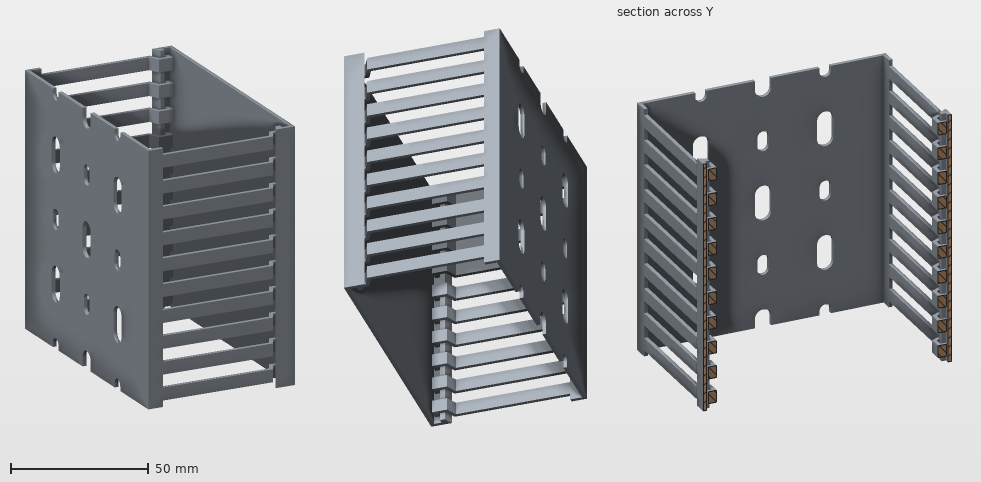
import cadquery as cq
import math

width = 100.0
depth = 60.0
height = 100.0
wall = 1.5

flange_depth = 8.0
lip_reach = 3.3
lip_ledge_depth = 4.5
lip_tip_depth = 6.3

finger_pitch = 10.0
finger_width = 5.0
finger_count = int(height / finger_pitch)
finger_root = 6.0
shoulder_depth = 9.0
hook_reach = 5.5
hook_top_depth = 2.2
hook_arm_thickness = 1.8
hook_end_gap = 0.5
shoulder_rise = 2.0

slot_pitch = 25.0
large_slot_length = 14.0
large_slot_width = 6.5
small_slot_length = 8.0
small_slot_width = 4.5

half_width = width / 2
inner_half_width = half_width - wall
back = depth / 2
front = -depth / 2


def mirrored(side):
    """Full left-right symmetric outline from its +X half."""
    return side + [(-x, y) for x, y in reversed(side)]


def extrude_outline(points):
    """Profile in the XY plane extruded over the full height, centred on Z = 0."""
    return cq.Workplane("XY").polyline(points).close().extrude(height / 2, both=True)


def make_cover():
    """Flat back panel with two side flanges ending in wedge-shaped lips."""
    lip_x = half_width - lip_reach
    side = [
        (half_width, back),
        (half_width, back - flange_depth),
        (lip_x, back - lip_tip_depth),
        (lip_x, back - lip_ledge_depth),
        (inner_half_width, back - lip_ledge_depth),
        (inner_half_width, back - wall),
    ]
    return extrude_outline(mirrored(side))


def make_trunk_channel():
    """U-shaped channel whose side walls step inward and hook over the cover lips."""
    hook_inner_x = half_width - hook_reach
    hook_outer_x = hook_inner_x + wall
    hook_end_x = inner_half_width - hook_end_gap
    hook_top = back - hook_top_depth
    hook_underside = hook_top - hook_arm_thickness
    shoulder = back - shoulder_depth
    slope = shoulder_rise / (hook_reach - wall)
    inner_drop = wall * (math.sqrt(1 + slope**2) - slope)
    side = [
        (half_width, front),
        (half_width, shoulder),
        (hook_outer_x, shoulder + shoulder_rise),
        (hook_outer_x, hook_underside),
        (hook_end_x, hook_underside),
        (hook_end_x, hook_top),
        (hook_inner_x, hook_top),
        (hook_inner_x, shoulder + shoulder_rise - inner_drop),
        (inner_half_width, shoulder - inner_drop),
        (inner_half_width, front + wall),
    ]
    return extrude_outline(mirrored(side))


def finger_gaps():
    """Openings between the fingers, including the half gaps at both ends."""
    gap_depth = depth - finger_root
    gap_y = front + finger_root + gap_depth / 2
    gap_heights = [index * finger_pitch - height / 2 for index in range(finger_count + 1)]
    return (
        cq.Workplane("XZ", origin=(0, gap_y, 0))
        .pushPoints([(0, z) for z in gap_heights])
        .box(width, finger_pitch - finger_width, gap_depth)
    )


def base_slots(length, slot_width, is_large):
    """Vertical slots through the base, on every other cell of a checkerboard grid."""
    cells = [
        (column * slot_pitch, row * slot_pitch)
        for column in (-1, 0, 1)
        for row in (-2, -1, 0, 1, 2)
        if ((column + row) % 2 == 0) == is_large
    ]
    return (
        cq.Workplane("XZ", origin=(0, front + wall, 0))
        .pushPoints(cells)
        .slot2D(length, slot_width, 90)
        .extrude(wall)
    )


def make_trunk():
    """Slotted-wall duct channel with a perforated base."""
    trunk = make_trunk_channel().cut(finger_gaps())
    trunk = trunk.cut(base_slots(large_slot_length, large_slot_width, True))
    return trunk.cut(base_slots(small_slot_length, small_slot_width, False))


cover = make_cover()
trunk = make_trunk()

result = cq.Compound.makeCompound([cover.val(), trunk.val()])